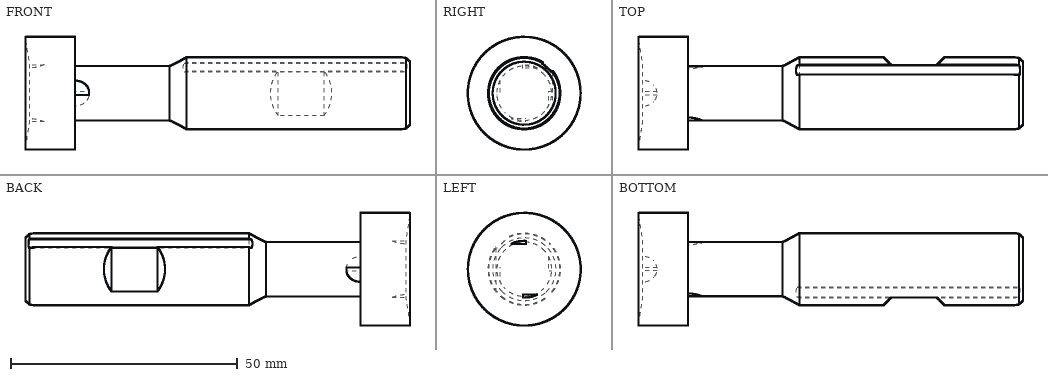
import cadquery as cq
import math

total_length = 84.9
head_radius = 12.5
head_length = 10.95
head_rim_radius = 0.25
neck_radius = 6.0
shank_radius = 8.0

x_axis = ((0, 0, 0), (1, 0, 0))

dish_floor_radius = 6.3
dish_depth = 0.9

neck_end = 31.75
cone_start = 32.3
cone_start_radius = 6.2
shank_start = 35.6

rear_arc_start = 82.8
rear_arc_end = 84.0
rear_arc_drop = 0.2
rear_face_radius = 7.0

flat_height = 6.3
flat_start = 55.8
flat_end = 65.9

groove_angle = 48.0
groove_width = 2.9
groove_floor_radius = 7.55

gullet_depth = 0.7
gullet_length = 3.1
gullet_wall_offset = 0.3


def make_body():
    """Revolve the head, neck, cone and shank about the X axis."""
    arc_end = (rear_arc_end, shank_radius - rear_arc_drop)
    profile = (
        cq.Workplane("XY")
        .moveTo(dish_depth, 0)
        .lineTo(dish_depth, dish_floor_radius)
        .lineTo(0, head_radius - head_rim_radius)
        .radiusArc((head_rim_radius, head_radius), head_rim_radius)
        .lineTo(head_length, head_radius)
        .lineTo(head_length, neck_radius)
        .lineTo(neck_end, neck_radius)
        .lineTo(cone_start, cone_start_radius)
        .lineTo(shank_start, shank_radius)
        .lineTo(rear_arc_start, shank_radius)
        .tangentArcPoint(arc_end, relative=False)
        .lineTo(total_length, rear_face_radius)
        .lineTo(total_length, 0)
        .close()
    )
    return profile.revolve(360, *x_axis)


def make_clamping_flat():
    """Trapezoidal cutter whose sloping ends reach past the shank surface."""
    cut_height = 2 * (shank_radius - flat_height)
    return (
        cq.Workplane("XY")
        .moveTo(flat_start, flat_height)
        .lineTo(flat_end, flat_height)
        .lineTo(flat_end + cut_height, flat_height + cut_height)
        .lineTo(flat_start - cut_height, flat_height + cut_height)
        .close()
        .extrude(shank_radius, both=True)
    )


def make_groove():
    """Flat-floored cutter that runs out through the cone and the rear end."""
    cutter = cq.Workplane("XY").box(
        total_length - cone_start, shank_radius, groove_width, centered=(False, False, True)
    )
    cutter = cutter.translate((cone_start, groove_floor_radius, 0))
    return cutter.rotate(*x_axis, groove_angle)


def make_gullet(start, radius):
    """Curved ramp rising from full depth at start to the given radius, on the +Y side."""
    floor_radius = radius - gullet_depth
    ramp_radius = (gullet_length**2 + gullet_depth**2) / (2 * gullet_depth)
    half_chord = math.sqrt(radius**2 - floor_radius**2)
    ramp = (
        cq.Workplane("XY")
        .workplane(offset=-gullet_wall_offset)
        .moveTo(start, floor_radius)
        .radiusArc((start + gullet_length, radius), -ramp_radius)
        .lineTo(start, radius)
        .close()
        .extrude(half_chord + gullet_wall_offset)
    )
    core = cq.Workplane("YZ").workplane(offset=start).circle(radius).extrude(gullet_length)
    return ramp.intersect(core)


result = make_body().cut(make_clamping_flat()).cut(make_groove())

for half_turn in (0, 180):
    neck_gullet = make_gullet(head_length, neck_radius).mirror("XY")
    dish_gullet = make_gullet(dish_depth, dish_floor_radius).mirror("XY")
    result = result.cut(neck_gullet.rotate(*x_axis, half_turn))
    result = result.cut(dish_gullet.rotate(*x_axis, half_turn + 90))